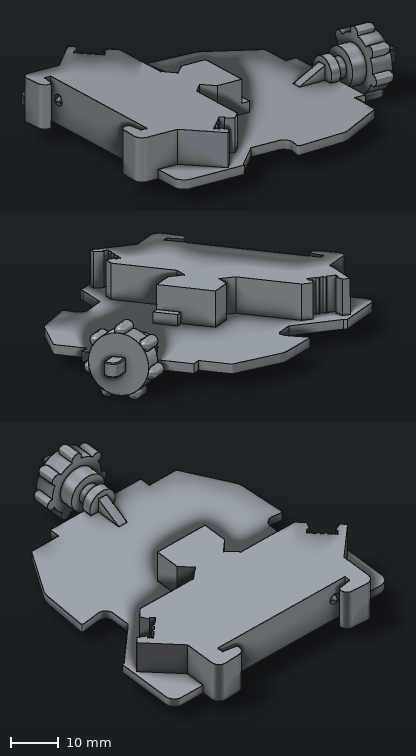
import cadquery as cq
import math

PLATE_THICK = 2.15
PLATE_WIDTH = 60.0
PLATE_HALF_W = PLATE_WIDTH / 2
PLATE_TOP_Y = 59.0
FOOT_CORNER_R = 2.5
FOOT_TOP_Y = 16.1
FOOT_CHAMFER_X, FOOT_CHAMFER_Y = 0.7, 0.3
LEFT_WALL_X = 20.5
RIGHT_WALL_X = 22.95
NOTCH_R = 2.0
NOTCH_SLOPE = math.tan(math.radians(8))
LIP_X, LIP_Y, LIP_R = 27.9, 31.3, 0.5
SIDE_X, SIDE_Y, SIDE_R = 27.1, 44.1, 5.0
SHOULDER_X, SHOULDER_Y, SHOULDER_R = 20.1, 56.3, 0.55
TAB_HALF_W = 12.6

BODY_HEIGHT = 10.0
HEAD_HALF_W, HEAD_TOP_Y = 6.6, 31.8
NECK_HALF_W, NECK_Y = 3.9, 22.9
NECK_DEPTH = HEAD_HALF_W - NECK_HALF_W
ARM_TOP_Y = 20.3
LEG_OUTER_X, LEG_INNER_X, LEG_BOTTOM_Y = 21.7, 17.6, -4.85
LEG_TOP_Y = 4.9
LEG_R = 2.1
HOOK_TIP_X, HOOK_TIP_LOW_Y, HOOK_TIP_HIGH_Y = 14.0, -4.4, -2.15
HOOK_ROOT_Y = -1.5
HOOK_LOW_R, HOOK_HIGH_R = 1.75, 0.5

SLOT_X, SLOT_Y = 23.3, 13.7
SLOT_DEPTH = 3.35
SLOT_FLOOR_HALF = 3.3
SLOT_LEDGE_HALF, SLOT_LEDGE_V = 2.7, 1.2
SLOT_MOUTH_HALF = 3.35
ARM_UPPER_U, ARM_LOWER_U = 6.1, -5.1
TOOTH_U, TOOTH_HALF_BASE = 0.8, 0.5

STEP_X0, STEP_TOP_Y, STEP_HEIGHT = 1.1, 33.8, 2.5

PIN_X, PIN_Z = 14.8, 5.6
PIN_HOLE_R, PIN_HOLE_DEPTH = 1.3, 1.2
PIN_R, PIN_TIP_OUT = 1.2, 0.95

AXIS_Z = 3.7
FLANGE_R, FLANGE_Y = 3.5, 56.8
SHAFT_R = 2.5
COLLAR_R, COLLAR_Y = 4.6, 61.3
DISC_R, DISC_Y, DISC_TOP_Y = 6.8, 64.9, 70.0
LOBES, LOBE_R, LOBE_CENTRE_R = 7, 1.35, 7.0
ROD_WIDTH, ROD_END_Y, ROD_END_R, ROD_BEVEL = 3.2, 74.95, 1.4, 0.2
RIB_WIDTH, RIB_TOP_Z, RIB_END_Y = 2.3, 5.6, 50.3


def rounded_prism(corners, height):
    """Extrude a closed outline of (x, y, corner radius) from z = 0."""
    count = len(corners)
    outline = None
    for i, (x, y, radius) in enumerate(corners):
        corner = cq.Vector(x, y)
        back = (cq.Vector(*corners[i - 1][:2]) - corner).normalized()
        ahead = (cq.Vector(*corners[(i + 1) % count][:2]) - corner).normalized()
        half_angle = back.getAngle(ahead) / 2
        reach = radius / math.tan(half_angle)
        start = (corner + back * reach).toTuple()[:2]
        if outline is None:
            outline = cq.Workplane("XY").moveTo(*start)
        else:
            outline = outline.lineTo(*start)
        if radius > 0:
            bisector = (back + ahead).normalized()
            middle = corner + bisector * (radius / math.sin(half_angle) - radius)
            end = corner + ahead * reach
            outline = outline.threePointArc(middle.toTuple()[:2], end.toTuple()[:2])
    return outline.close().extrude(height)


def plate_side(wall_x):
    """Right-hand plate corners from bottom to top, with the notch wall at wall_x."""
    chamfer_x = PLATE_HALF_W - FOOT_CHAMFER_X
    chamfer_y = FOOT_TOP_Y + FOOT_CHAMFER_Y
    return [
        (PLATE_HALF_W, 0, FOOT_CORNER_R),
        (PLATE_HALF_W, FOOT_TOP_Y, 0),
        (chamfer_x, chamfer_y, 0),
        (wall_x, chamfer_y + chamfer_x - wall_x, 0),
        (wall_x, LIP_Y + (LIP_X - wall_x) * NOTCH_SLOPE, NOTCH_R),
        (LIP_X, LIP_Y, LIP_R),
        (SIDE_X, SIDE_Y, SIDE_R),
        (SHOULDER_X, SHOULDER_Y, SHOULDER_R),
        (TAB_HALF_W, SHOULDER_Y, 0),
        (TAB_HALF_W, PLATE_TOP_Y, 0),
    ]


def mirrored(corners):
    """The same corners on the other side of x = 0, in reverse order."""
    return [(-x, y, radius) for x, y, radius in reversed(corners)]


def make_plate():
    corners = plate_side(RIGHT_WALL_X) + mirrored(plate_side(LEFT_WALL_X))
    return rounded_prism(corners, PLATE_THICK)


def arm_point(u, v):
    """Right-hand arm corner at u along the slot floor and v outwards from it."""
    diagonal = math.sqrt(2)
    return (SLOT_X + (v - u) / diagonal, SLOT_Y + (v + u) / diagonal, 0)


def tooth(u):
    """Small right-angled tooth centred at u on the slot floor."""
    return [
        arm_point(u - TOOTH_HALF_BASE, 0),
        arm_point(u, TOOTH_HALF_BASE),
        arm_point(u + TOOTH_HALF_BASE, 0),
    ]


def body_side():
    """Right-hand body corners from the lower edge up to the head."""
    leg = [
        (LEG_INNER_X, 0, 0),
        (LEG_INNER_X, HOOK_ROOT_Y, 0),
        (HOOK_TIP_X, HOOK_TIP_HIGH_Y, HOOK_HIGH_R),
        (HOOK_TIP_X, HOOK_TIP_LOW_Y, HOOK_LOW_R),
        (LEG_OUTER_X, LEG_BOTTOM_Y, LEG_R),
        (LEG_OUTER_X, LEG_TOP_Y, 0),
    ]
    slot = [
        arm_point(ARM_LOWER_U, SLOT_DEPTH),
        arm_point(-SLOT_MOUTH_HALF, SLOT_DEPTH),
        arm_point(-SLOT_LEDGE_HALF, SLOT_LEDGE_V),
        arm_point(-SLOT_FLOOR_HALF, SLOT_LEDGE_V),
        arm_point(-SLOT_FLOOR_HALF, 0),
        *tooth(-TOOTH_U),
        *tooth(TOOTH_U),
        arm_point(SLOT_FLOOR_HALF, 0),
        arm_point(SLOT_FLOOR_HALF, SLOT_LEDGE_V),
        arm_point(SLOT_LEDGE_HALF, SLOT_LEDGE_V),
        arm_point(SLOT_MOUTH_HALF, SLOT_DEPTH),
    ]
    arm_upper_x, arm_upper_y, _ = arm_point(ARM_UPPER_U, SLOT_DEPTH)
    head = [
        (arm_upper_x - (ARM_TOP_Y - arm_upper_y), ARM_TOP_Y, 0),
        (HEAD_HALF_W, ARM_TOP_Y, 0),
        (NECK_HALF_W, NECK_Y, 0),
        (HEAD_HALF_W, NECK_Y + NECK_DEPTH, 0),
        (HEAD_HALF_W, HEAD_TOP_Y, 0),
    ]
    return leg + slot + head


def make_body():
    side = body_side()
    return rounded_prism(side + mirrored(side), BODY_HEIGHT)


def make_step():
    return cq.Workplane("XY").box(
        HEAD_HALF_W - STEP_X0,
        STEP_TOP_Y - HEAD_TOP_Y,
        PLATE_THICK + STEP_HEIGHT,
        centered=False,
    ).translate((STEP_X0, HEAD_TOP_Y, 0))


def cylinder(radius, y_start, y_end, x=0, z=AXIS_Z):
    """Cylinder parallel to y."""
    return cq.Workplane(cq.Solid.makeCylinder(
        radius, y_end - y_start, cq.Vector(x, y_start, z), cq.Vector(0, 1, 0)))


def pin(x):
    height = PIN_HOLE_DEPTH + PIN_TIP_OUT
    base = cq.Vector(x, PIN_HOLE_DEPTH, PIN_Z)
    return cq.Workplane(cq.Solid.makeCone(PIN_R, 0, height, base, cq.Vector(0, -1, 0)))


def grip_lobe():
    """Round lobe with a domed end, its axis on the y axis."""
    dome_y = DISC_TOP_Y - LOBE_R
    dome_mid = LOBE_R * math.sqrt(0.5)
    profile = (
        cq.Workplane("XY")
        .moveTo(0, DISC_Y)
        .lineTo(LOBE_R, DISC_Y)
        .lineTo(LOBE_R, dome_y)
        .threePointArc((dome_mid, dome_y + dome_mid), (0, DISC_TOP_Y))
        .close()
    )
    return profile.revolve(360, (0, 0), (0, 1))


def make_knob():
    """Flange, shaft, collar and lobed grip."""
    knob = cylinder(FLANGE_R, FLANGE_Y, PLATE_TOP_Y)
    knob = knob.union(cylinder(SHAFT_R, FLANGE_Y, DISC_Y))
    knob = knob.union(cylinder(COLLAR_R, COLLAR_Y, DISC_Y))
    knob = knob.union(cylinder(DISC_R, DISC_Y, DISC_TOP_Y))
    for i in range(LOBES):
        angle = 2 * math.pi * i / LOBES
        x = LOBE_CENTRE_R * math.sin(angle)
        z = AXIS_Z + LOBE_CENTRE_R * math.cos(angle)
        knob = knob.union(grip_lobe().translate((x, 0, z)))
    return knob


def make_rod():
    """Square bar with a rounded end and bevelled edges."""
    length = ROD_END_Y - DISC_Y
    bar = cq.Workplane("XY").box(ROD_WIDTH, length, ROD_WIDTH)
    bar = bar.edges("|Z and >Y").fillet(ROD_END_R)
    bar = bar.faces("<Z or >Z").chamfer(ROD_BEVEL)
    return bar.translate((0, DISC_Y + length / 2, AXIS_Z))


def make_rib():
    """Triangular rib between the flange and the plate."""
    profile = cq.Workplane("YZ").polyline([
        (FLANGE_Y, 0),
        (FLANGE_Y, RIB_TOP_Z),
        (RIB_END_Y, PLATE_THICK),
        (RIB_END_Y, 0),
    ])
    return profile.close().extrude(RIB_WIDTH / 2, both=True)


result = make_plate().union(make_body()).union(make_step())
for pin_x in (-PIN_X, PIN_X):
    result = result.cut(cylinder(PIN_HOLE_R, 0, PIN_HOLE_DEPTH, pin_x, PIN_Z))
    result = result.union(pin(pin_x))
result = result.union(make_knob()).union(make_rod()).union(make_rib())